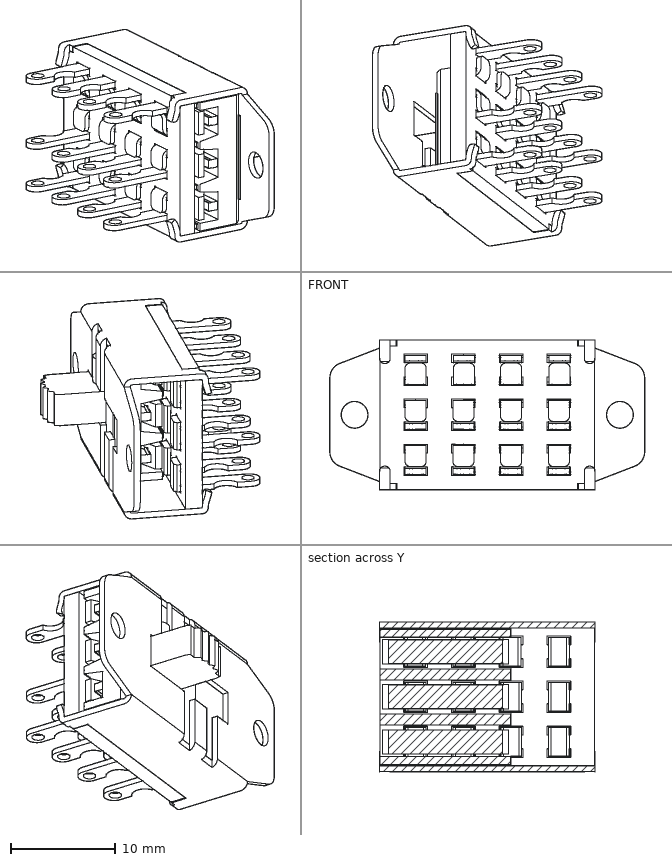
import cadquery as cq
import math


OVERALL_LENGTH = 30.23
OVERALL_DEPTH = 19.1
BODY_LENGTH = 20.68
BODY_HEIGHT = 14.4
BRACKET_BACK = -7.65
SHEET = 0.6
BEND_DIAMETER = 1.6
BEND_RADIUS = BEND_DIAMETER / 2
EAR_ROOT_HEIGHT = 12.82
EAR_TIP_HEIGHT = 9.13
EAR_CORNER_RADIUS = 1.5
EAR_HOLE_SPACING = 25.45
EAR_HOLE_DIAMETER = 2.55
INNER_HEIGHT = BODY_HEIGHT - 2 * SHEET

WINDOW_LENGTH = 13.72
WINDOW_HEIGHT = 3.45
DETENT_PITCH = 4.02
DETENT_WIDTH = 1.87
DETENT_DEPTH = 0.55
DETENT_RISE = 0.1
BUMP_TOP = 4.17

BOARD_BACK = -7.68
BOARD_THICKNESS = 1.65
BOARD_FRONT = BOARD_BACK + BOARD_THICKNESS
BOARD_LENGTH = 20.62
LEDGE_LENGTH = 17.35
LEDGE_HEIGHT = 14.33
LEDGE_GAP = 0.1

TAB_WIDTH = 1.03
TAB_TIP = 4.93
TAB_TIP_RADIUS = 0.48
TAB_LEAN = [(-8.28, 6.23), (-8.62, 5.1), (-8.07, TAB_TIP), (-7.75, 5.93)]

CARRIER_LENGTH = 12.58
CARRIER_HEIGHT = 13.0
CARRIER_SLOPE = 0.63
WEB_BACK = -3.33
TOOTH_END = -5.4
SPRING_LENGTH = 12.1
SPRING_HEIGHT = 8.45
SPRING_DEPTH = 0.18
NUB_HEIGHT = 0.18
NUB_WIDTH = 0.45
NUB_INSET = 0.3
TOOTH_ROOT_WIDTH = 1.48
TOOTH_TIP_WIDTH = 0.8
TOOTH_TIP_FILLET = 0.12
RAIL_THICKNESS = 0.8
HANDLE_WIDTH = 5.5
HANDLE_HEIGHT = 3.2
HANDLE_TOP = 5.1
GRIP_TEETH = [(HANDLE_WIDTH / 2, 3.85), (2.6, 4.4), (2.45, 4.32), (1.9, 4.32), (1.57, 4.87),
              (1.27, 4.8), (0.95, 4.63), (0.55, HANDLE_TOP), (0.15, 4.78)]

COLUMN_PITCH = 4.58
ROW_PITCH = 4.32
COLUMN_COUNT = 4
UPPER_ROW_SHIFT = 0.05
TERMINAL_WIDTH = 2.03
TERMINAL_SPAN = 2.78
TERMINAL_TIP = HANDLE_TOP - OVERALL_DEPTH
BLADE_THICKNESS = 0.55
BLADE_HOLE_Y = -12.85
BLADE_HOLE_DIAMETER = 1.18
NOTCH_DIAMETER = 2.55
NOTCH_DEPTH = 0.73
NOTCH_Y = -10.45
TONGUE_THICKNESS = 0.45
TONGUE_LENGTH = 2.03
TONGUE_CORNER = 0.48
TONGUE_BEND = 0.7
SLOT_WIDTH = 2.25
SLOT_HEIGHT = 0.82
SLOT_SPAN = 3.0
HEAD_CHAMFER = 0.27

CONTACT_HEIGHT = 2.33
CONTACT_INSET = 0.25
CONTACT_SLOPE = 2.42
CONTACT_SLOPE_END = -4.78
POST_HEIGHT = 0.85
POST_END = -4.32
POST_INSET = 0.15
PASSAGE_SIZE = 0.27
PASSAGE_Y = -4.1
PASSAGE_SPACING = 1.1

columns = [(i - (COLUMN_COUNT - 1) / 2) * COLUMN_PITCH for i in range(COLUMN_COUNT)]
rows = [-ROW_PITCH, 0.0, ROW_PITCH]


def block(x_range, y_range, z_range):
    """Box given by its limits along each axis."""
    size = [b - a for a, b in (x_range, y_range, z_range)]
    return cq.Workplane("XY").box(*size, centered=False).translate((x_range[0], y_range[0], z_range[0]))


def centered(size):
    """Limits of a span centred on zero."""
    return (-size / 2, size / 2)


def about(center, size):
    """Limits of a span centred on a given place."""
    return (center - size / 2, center + size / 2)


def make_plate():
    """Flat mounting plate with tapered ears and a screw hole in each."""
    root_x, tip_x = BODY_LENGTH / 2, OVERALL_LENGTH / 2
    root_z, tip_z = EAR_ROOT_HEIGHT / 2, EAR_TIP_HEIGHT / 2
    outline = [(-tip_x, -tip_z), (-root_x, -root_z), (root_x, -root_z), (tip_x, -tip_z),
               (tip_x, tip_z), (root_x, root_z), (-root_x, root_z), (-tip_x, tip_z)]
    plate = cq.Workplane("XZ").polyline(outline).close().extrude(SHEET)
    plate = plate.edges("|Y and (<X or >X)").fillet(EAR_CORNER_RADIUS)
    holes = (cq.Workplane("XZ").pushPoints([(-EAR_HOLE_SPACING / 2, 0), (EAR_HOLE_SPACING / 2, 0)])
             .circle(EAR_HOLE_DIAMETER / 2).extrude(SHEET))
    return plate.cut(holes)


def make_bracket():
    """Channel with mounting ears, handle window, detent slots and notches for the board."""
    channel = block(centered(BODY_LENGTH), (BRACKET_BACK, 0), centered(BODY_HEIGHT))
    channel = channel.edges("|X and >Y").fillet(BEND_RADIUS)
    cavity = block(centered(BODY_LENGTH), (BRACKET_BACK, -SHEET), centered(INNER_HEIGHT))
    cavity = cavity.edges("|X and >Y").fillet(BEND_RADIUS - SHEET)
    bracket = channel.cut(cavity).union(make_plate())
    bracket = bracket.cut(block(centered(WINDOW_LENGTH), (-SHEET, 0), centered(WINDOW_HEIGHT)))
    upper, lower = (0, BODY_HEIGHT / 2), (-BODY_HEIGHT / 2, 0)
    for x, z_range in ((0, upper), (DETENT_PITCH, upper), (0, lower), (-DETENT_PITCH, lower)):
        bracket = bracket.cut(block(about(x, DETENT_WIDTH), (-SHEET, 0), z_range))
    notch = block(centered(LEDGE_LENGTH + 2 * LEDGE_GAP), (BOARD_BACK, BOARD_FRONT), centered(BODY_HEIGHT))
    return bracket.cut(notch)


def make_tab():
    """Bent locking tab at the upper -X corner, with a round tip."""
    x_range = (-BODY_LENGTH / 2, -BODY_LENGTH / 2 + TAB_WIDTH)
    top = BODY_HEIGHT / 2
    outer = BRACKET_BACK - SHEET
    bend = SHEET * math.sqrt(0.5)
    profile = (cq.Workplane("YZ").moveTo(BRACKET_BACK, top)
               .threePointArc((BRACKET_BACK - bend, top - SHEET + bend), (outer, top - SHEET))
               .polyline(TAB_LEAN, includeCurrent=True).lineTo(BRACKET_BACK, top - SHEET).close())
    strip = profile.extrude(TAB_WIDTH).translate((x_range[0], 0, 0))
    envelope = block(x_range, (BRACKET_BACK - 2 * SHEET, BRACKET_BACK), (TAB_TIP, top))
    return strip.intersect(envelope.edges("|Y and <Z").fillet(TAB_TIP_RADIUS))


def make_board():
    """Board with a ledge that fills the bracket notches and a pair of slots for every terminal."""
    board = block(centered(BOARD_LENGTH), (BOARD_BACK, BOARD_FRONT), centered(INNER_HEIGHT))
    board = board.union(block(centered(LEDGE_LENGTH), (BOARD_BACK, BOARD_FRONT), centered(LEDGE_HEIGHT)))
    slot_offset = (SLOT_SPAN - SLOT_HEIGHT) / 2
    for x in columns:
        for z in rows:
            for slot_z in (z - slot_offset, z + slot_offset):
                slot = block(about(x, SLOT_WIDTH), (BOARD_BACK, BOARD_FRONT), about(slot_z, SLOT_HEIGHT))
                board = board.cut(slot)
    return board


def make_terminal():
    """U-shaped terminal centred on X = Z = 0: head, soldering blade below, clinched tongue above."""
    half = TERMINAL_WIDTH / 2
    bottom, top = centered(TERMINAL_SPAN)
    blade = (cq.Workplane("XY", origin=(0, 0, bottom)).moveTo(-half, BOARD_FRONT)
             .lineTo(-half, TERMINAL_TIP + half).threePointArc((0, TERMINAL_TIP), (half, TERMINAL_TIP + half))
             .lineTo(half, BOARD_FRONT).close().extrude(BLADE_THICKNESS))
    notch_x = -half - NOTCH_DIAMETER / 2 + NOTCH_DEPTH
    for x, y, diameter in ((0, BLADE_HOLE_Y, BLADE_HOLE_DIAMETER), (notch_x, NOTCH_Y, NOTCH_DIAMETER)):
        cutter = cq.Workplane("XY", origin=(x, y, bottom)).circle(diameter / 2).extrude(BLADE_THICKNESS)
        blade = blade.cut(cutter)
    head = block(centered(TERMINAL_WIDTH), (BOARD_FRONT, TOOTH_END), (bottom, top))
    head = head.edges("|Z and >Y").chamfer(HEAD_CHAMFER)
    leg = block(centered(TERMINAL_WIDTH), (BOARD_BACK, BOARD_FRONT), (top - TONGUE_THICKNESS, top))
    tongue_y = (BOARD_BACK - TONGUE_THICKNESS, BOARD_BACK)
    tongue = block(centered(TERMINAL_WIDTH), tongue_y, (top - TONGUE_LENGTH, top))
    tongue = tongue.edges("|Y and <Z").fillet(TONGUE_CORNER)
    tongue = tongue.union(leg).edges("|X and >Z and <Y").fillet(TONGUE_BEND)
    return blade.union(head).union(tongue)


def make_carrier():
    """Carrier block with sloped ends, a detent spring strip, and nubs on its back teeth and rails."""
    x_range = about(DETENT_PITCH, CARRIER_LENGTH)
    z_range = centered(CARRIER_HEIGHT)
    carrier = block(x_range, (WEB_BACK, -SHEET), z_range)
    carrier = carrier.edges("|Z and >Y").chamfer(CARRIER_SLOPE)
    spring_y = (-SHEET - SPRING_DEPTH, -SHEET)
    spring = block(about(DETENT_PITCH, SPRING_LENGTH), spring_y, centered(SPRING_HEIGHT))
    carrier = carrier.union(spring)
    nub_x = (x_range[0] + NUB_INSET, x_range[1] - NUB_INSET)
    nub_y = (TOOTH_END - NUB_HEIGHT, TOOTH_END)
    for z in (-ROW_PITCH / 2, ROW_PITCH / 2):
        root, tip = TOOTH_ROOT_WIDTH / 2, TOOTH_TIP_WIDTH / 2
        outline = [(WEB_BACK, z - root), (TOOTH_END, z - tip), (TOOTH_END, z + tip), (WEB_BACK, z + root)]
        tooth = (cq.Workplane("YZ").polyline(outline).close().extrude(CARRIER_LENGTH)
                 .translate((x_range[0], 0, 0)))
        carrier = carrier.union(tooth.edges("|X and <Y").fillet(TOOTH_TIP_FILLET))
        carrier = carrier.union(block(nub_x, nub_y, about(z, NUB_WIDTH)))
    for side in (-1, 1):
        rail_z = side * (CARRIER_HEIGHT - RAIL_THICKNESS) / 2
        carrier = carrier.union(block(x_range, (TOOTH_END, WEB_BACK), about(rail_z, RAIL_THICKNESS)))
        carrier = carrier.union(block(nub_x, nub_y, about(rail_z, NUB_WIDTH)))
    return carrier


def make_detent_bump():
    """Rounded spring bump that rises through the upper detent slot."""
    half = DETENT_WIDTH / 2
    profile = (cq.Workplane("XY").moveTo(-half, -SHEET).lineTo(-half, DETENT_RISE - DETENT_DEPTH)
               .threePointArc((0, DETENT_RISE), (half, DETENT_RISE - DETENT_DEPTH))
               .lineTo(half, -SHEET).close())
    return profile.extrude(BUMP_TOP).translate((DETENT_PITCH, 0, 0))


def make_handle():
    """Handle with a toothed thumb grip, symmetric about its middle plane."""
    grip = [(HANDLE_WIDTH / 2, -SHEET)] + GRIP_TEETH
    mirrored = [(-x, y) for x, y in reversed(grip)]
    handle = cq.Workplane("XY").polyline(grip + mirrored).close().extrude(HANDLE_HEIGHT)
    return handle.translate((DETENT_PITCH, 0, -HANDLE_HEIGHT / 2))


def make_contact():
    """Sliding contact bar with sloped ends, carried on a post of the carrier."""
    start, end = about(DETENT_PITCH, CARRIER_LENGTH - 2 * CONTACT_INSET)
    inner_start, inner_end = start + CONTACT_SLOPE, end - CONTACT_SLOPE
    outline = [(inner_start, WEB_BACK), (start, CONTACT_SLOPE_END), (start, TOOTH_END),
               (end, TOOTH_END), (end, CONTACT_SLOPE_END), (inner_end, WEB_BACK)]
    contact = cq.Workplane("XY").polyline(outline).close().extrude(CONTACT_HEIGHT)
    contact = contact.translate((0, 0, -CONTACT_HEIGHT / 2))
    post_x = about(DETENT_PITCH, CARRIER_LENGTH - 2 * POST_INSET)
    contact = contact.union(block(post_x, (POST_END, WEB_BACK), centered(POST_HEIGHT)))
    for z in centered(PASSAGE_SPACING):
        contact = contact.cut(block(post_x, about(PASSAGE_Y, PASSAGE_SIZE), about(z, PASSAGE_SIZE)))
    return contact


result = make_bracket().union(make_board())
for part in (make_carrier(), make_detent_bump(), make_handle()):
    result = result.union(part)

tab = make_tab()
upper_tabs = tab.union(tab.mirror("YZ"))
result = result.union(upper_tabs).union(upper_tabs.mirror("XY"))

contact = make_contact()
for z in rows:
    result = result.union(contact.translate((0, 0, z)))

terminal = make_terminal()
turned_terminal = terminal.rotate((0, 0, 0), (0, 1, 0), 180)
for i, x in enumerate(columns):
    for z in rows[:2]:
        result = result.union(terminal.translate((x, 0, z)))
    shift = UPPER_ROW_SHIFT * (i % 2)
    result = result.union(turned_terminal.translate((x + shift, 0, rows[2])))